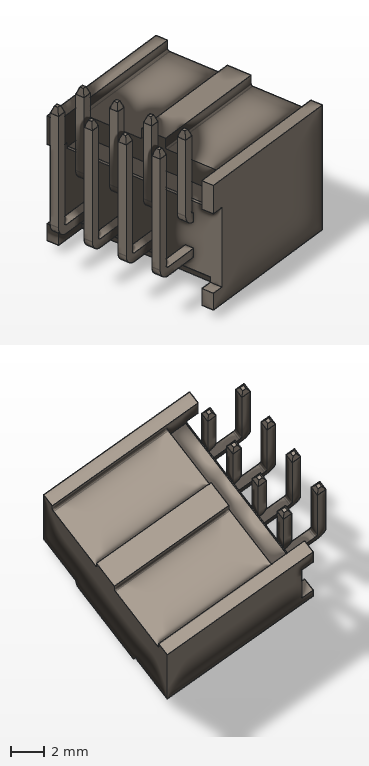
import cadquery as cq
import math


housing_width = 12.5
housing_height = 9.0
wall_length = 10.9
wall_thickness = 0.87
core_length = 10.05
notch_bottom = 1.22
notch_top_drop = 2.05
notch_top = housing_height - notch_top_drop

core_width = housing_width - 2 * wall_thickness
deck_drop = 0.75
deck_height = housing_height - deck_drop
step_length = 8.55
block_bottom = 1.51
block_top_drop = 2.35
block_top = housing_height - block_top_drop
block_chamfer = 0.1

rib_width = 1.8
rib_fillet = 0.11
wall_fillet = 0.15

key_height = 0.75
key_length = 2.97
key_root_width = 6.08
key_tip_width = 5.68

pin_pitch = 2.55
pin_columns = 4
pin_rows = 2
pin_size = 0.63
pin_inner_radius = 0.19
pin_outer_radius = pin_inner_radius + pin_size
pin_rise = 2.9
pin_top = housing_height + pin_rise
pin_reach = 13.4
lower_pin_bottom = 2.55
pin_embed = 0.4
point_height = 0.5
point_tip_size = 0.25


def side_wall(x_start):
    """Side wall with a rectangular notch in its pin-side edge."""
    outline = [
        (0, 0),
        (-wall_length, 0),
        (-wall_length, notch_bottom),
        (-core_length, notch_bottom),
        (-core_length, notch_top),
        (-wall_length, notch_top),
        (-wall_length, housing_height),
        (0, housing_height),
    ]
    return (
        cq.Workplane("YZ", origin=(x_start, 0, 0))
        .polyline(outline)
        .close()
        .extrude(wall_thickness)
    )


def core():
    """Body between the walls; the pin block sticks out, with chamfered edges."""
    outline = [
        (0, 0),
        (-step_length, 0),
        (-step_length, block_bottom),
        (-core_length + block_chamfer, block_bottom),
        (-core_length, block_bottom + block_chamfer),
        (-core_length, block_top - block_chamfer),
        (-core_length + block_chamfer, block_top),
        (-step_length, block_top),
        (-step_length, deck_height),
        (0, deck_height),
    ]
    return (
        cq.Workplane("YZ", origin=(-core_width / 2, 0, 0))
        .polyline(outline)
        .close()
        .extrude(core_width)
    )


def rib():
    """Ridge along the middle of the deck, level with the top of the walls."""
    return cq.Workplane("XY", origin=(0, -step_length / 2, deck_height)).box(
        rib_width, step_length, deck_drop, centered=(True, True, False)
    )


def root_fillet(corner_x, direction, radius):
    """Concave fillet strip on the deck, spreading from corner_x along direction (+1 or -1)."""
    middle = radius * (1 - math.cos(math.pi / 4))
    return (
        cq.Workplane("XZ", origin=(corner_x, 0, deck_height))
        .moveTo(0, 0)
        .lineTo(direction * radius, 0)
        .threePointArc((direction * middle, middle), (0, radius))
        .close()
        .extrude(step_length)
    )


def key():
    """Polarizing key at the mating end, tapering downwards."""
    outline = [
        (-key_root_width / 2, 0),
        (key_root_width / 2, 0),
        (key_tip_width / 2, -key_height),
        (-key_tip_width / 2, -key_height),
    ]
    return cq.Workplane("XZ").polyline(outline).close().extrude(key_length)


def pin(x, row):
    """Bent square pin; row 0 is the lowest and reaches furthest out."""
    bottom = lower_pin_bottom + row * pin_pitch
    outer_y = -pin_reach + row * pin_pitch
    center_y = outer_y + pin_size / 2
    shoulder = pin_top - point_height
    inner_y = outer_y + pin_size
    root_y = -core_length + pin_embed

    bent_bar = (
        cq.Workplane("YZ", origin=(x - pin_size / 2, 0, 0))
        .moveTo(root_y, bottom)
        .lineTo(outer_y + pin_outer_radius, bottom)
        .radiusArc((outer_y, bottom + pin_outer_radius), pin_outer_radius)
        .lineTo(outer_y, shoulder)
        .lineTo(inner_y, shoulder)
        .lineTo(inner_y, bottom + pin_outer_radius)
        .radiusArc((outer_y + pin_outer_radius, bottom + pin_size), -pin_inner_radius)
        .lineTo(root_y, bottom + pin_size)
        .close()
        .extrude(pin_size)
    )
    point = (
        cq.Workplane("XY", origin=(x, center_y, shoulder))
        .rect(pin_size, pin_size)
        .workplane(offset=point_height)
        .rect(point_tip_size, point_tip_size)
        .loft()
    )
    return bent_bar.union(point)


result = core().union(rib()).union(key())
for wall_x in (-housing_width / 2, core_width / 2):
    result = result.union(side_wall(wall_x))

for side in (-1, 1):
    result = result.union(root_fillet(side * core_width / 2, -side, wall_fillet))
    result = result.union(root_fillet(side * rib_width / 2, side, rib_fillet))

for row in range(pin_rows):
    for column in range(pin_columns):
        pin_x = (column - (pin_columns - 1) / 2) * pin_pitch
        result = result.union(pin(pin_x, row))